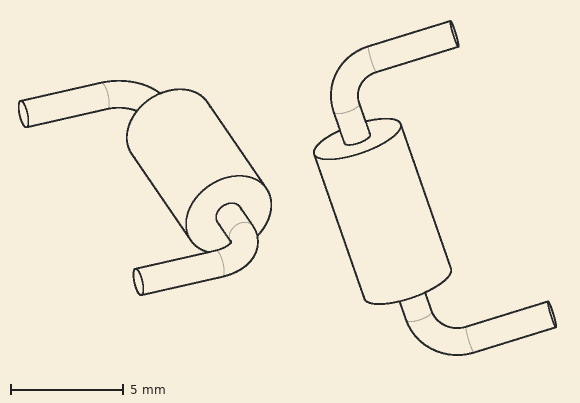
import cadquery as cq

span = 15.17
overall_depth = 7.7
body_diameter = 4.1
body_length = 7.2
lead_diameter = 1.21
bend_radius = 1.8

lead_radius = lead_diameter / 2
lead_x = span / 2 - lead_radius
bend_start_x = lead_x - bend_radius
tip_y = body_diameter / 2 - overall_depth


def make_body():
    """Plain cylinder along X."""
    left_end = cq.Workplane("YZ", origin=(-body_length / 2, 0, 0))
    return left_end.circle(body_diameter / 2).extrude(body_length)


def make_lead(side):
    """Round wire from the body centre out along X (side = +1 or -1), then bent toward -Y."""
    path = (
        cq.Workplane("XY")
        .lineTo(side * bend_start_x, 0)
        .radiusArc((side * lead_x, -bend_radius), side * bend_radius)
        .lineTo(side * lead_x, tip_y)
    )
    return cq.Workplane("YZ").circle(lead_radius).sweep(path)


result = make_body()
for side in (-1, 1):
    result = result.union(make_lead(side))